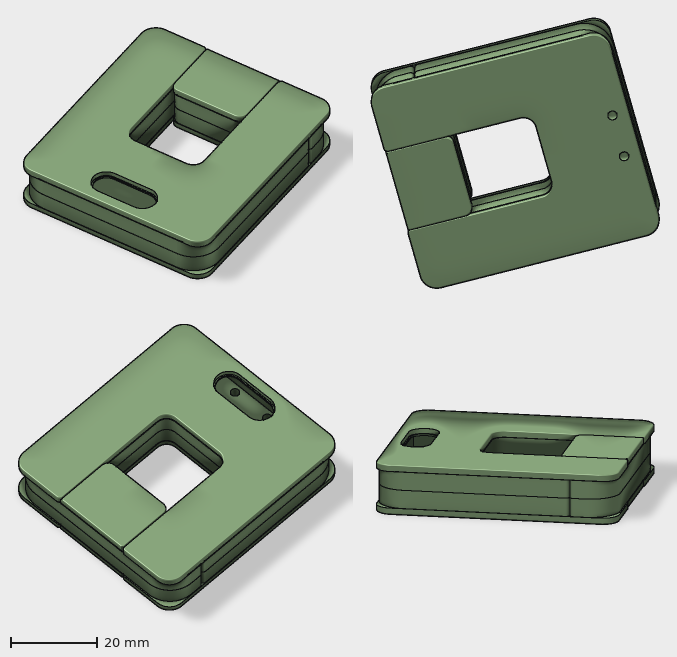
import cadquery as cq
WIDTH = 51.2
LENGTH = 57.3
HEIGHT = 12.0
HALF_HEIGHT = HEIGHT / 2
BACK_Y = LENGTH / 2
FRONT_Y = -LENGTH / 2

PLATE_THICKNESS = 1.6
CORE_HEIGHT = HALF_HEIGHT - PLATE_THICKNESS
PLATE_CORNER_RADIUS = 4.0
CORE_CORNER_RADIUS = 7.0
EDGE_ROUND = 0.4
CORE_INSET = 0.1

SLOT_WIDTH = 20.0
SLOT_LENGTH = 35.45
SLOT_CORNER_RADIUS = 3.0
SLOT_MOUTH_RADIUS = 1.0
SLOT_END_Y = BACK_Y - SLOT_LENGTH

SLIDER_BACK_Y = BACK_Y - 0.25
TONGUE_LENGTH = 15.9
TONGUE_PLATE_RADIUS = 2.1
TONGUE_CORE_RADIUS = 2.5
TONGUE_END_Y = SLIDER_BACK_Y - TONGUE_LENGTH
CROSSBAR_LENGTH = 10.9
PARTING_Y = SLIDER_BACK_Y - CROSSBAR_LENGTH
PARTING_RADIUS = 1.0

WINDOW_Y = -22.45
WINDOW_LENGTH = 17.0
WINDOW_WIDTH = 7.1
WINDOW_LEDGE = 0.35
WINDOW_LEDGE_DEPTH = 1.2
CAVITY_ROOF_THICKNESS = PLATE_THICKNESS
CAVITY_WIDTH = 28.65
CAVITY_FRONT_Y = FRONT_Y + 2.0
CAVITY_BACK_Y = -12.6

HOLE_DIAMETER = 2.2
HOLE_SPACING = 10.4
HOLE_Y = -24.75


def block(width, front_y, back_y, bottom_z, top_z):
    """A box centred on X that spans the given Y and Z limits."""
    return (
        cq.Workplane("XY", origin=(0, (front_y + back_y) / 2, bottom_z))
        .rect(width, back_y - front_y)
        .extrude(top_z - bottom_z)
    )


def housing_plate():
    """U-shaped upper plate with its outer edge rounded."""
    plate = block(WIDTH, FRONT_Y, BACK_Y, CORE_HEIGHT, HALF_HEIGHT).edges("|Z").fillet(PLATE_CORNER_RADIUS)
    slot = block(SLOT_WIDTH, SLOT_END_Y, BACK_Y, CORE_HEIGHT, HALF_HEIGHT)
    slot = slot.edges("|Z and <Y").fillet(SLOT_CORNER_RADIUS)
    mouth_corners = cq.selectors.BoxSelector(
        (-SLOT_WIDTH, BACK_Y - SLOT_MOUTH_RADIUS, 0),
        (SLOT_WIDTH, BACK_Y + SLOT_MOUTH_RADIUS, HEIGHT),
    )
    plate = plate.cut(slot).edges("|Z").edges(mouth_corners).fillet(SLOT_MOUTH_RADIUS)
    return plate.faces(">Z").fillet(EDGE_ROUND)


def housing_core():
    """Upper half of the U-shaped core, which ends at the slider's crossbar."""
    core = block(WIDTH - 2 * CORE_INSET, FRONT_Y + CORE_INSET, PARTING_Y, 0, CORE_HEIGHT)
    core = core.edges("|Z and <Y").fillet(CORE_CORNER_RADIUS)
    core = core.edges("|Z and >Y").fillet(PARTING_RADIUS)
    slot = block(SLOT_WIDTH + 2 * CORE_INSET, SLOT_END_Y - CORE_INSET, BACK_Y, 0, CORE_HEIGHT)
    return core.cut(slot.edges("|Z and <Y").fillet(SLOT_CORNER_RADIUS))


def window_level(inset, depth):
    """One level of the window, shrunk all round by inset and cut down to depth."""
    return (
        cq.Workplane("XY", origin=(0, WINDOW_Y, HALF_HEIGHT - depth))
        .slot2D(WINDOW_LENGTH - 2 * inset, WINDOW_WIDTH - 2 * inset)
        .extrude(depth)
    )


def build_upper_housing():
    """Upper half of the housing, hollowed from the parting plane and opened by the window."""
    cavity = block(CAVITY_WIDTH, CAVITY_FRONT_Y, CAVITY_BACK_Y, 0, HALF_HEIGHT - CAVITY_ROOF_THICKNESS)
    return (
        housing_plate()
        .union(housing_core())
        .cut(cavity)
        .cut(window_level(0, WINDOW_LEDGE_DEPTH))
        .cut(window_level(WINDOW_LEDGE, CAVITY_ROOF_THICKNESS))
    )


def build_lower_housing():
    """Lower half of the housing, with the two holes through it."""
    holes = (
        cq.Workplane("XY", origin=(0, HOLE_Y, -HALF_HEIGHT))
        .pushPoints([(-HOLE_SPACING / 2, 0), (HOLE_SPACING / 2, 0)])
        .circle(HOLE_DIAMETER / 2)
        .extrude(HALF_HEIGHT)
    )
    return housing_plate().union(housing_core()).mirror("XY").cut(holes)


def slider_half():
    """Upper half of the slider: tongue plate, tongue core and crossbar."""
    plate = block(SLOT_WIDTH, TONGUE_END_Y, SLIDER_BACK_Y, CORE_HEIGHT, HALF_HEIGHT)
    plate = plate.edges("|Z and <Y").fillet(TONGUE_PLATE_RADIUS).faces(">Z").fillet(EDGE_ROUND)

    core_back_y = SLIDER_BACK_Y - CORE_INSET
    tongue = block(SLOT_WIDTH - 2 * CORE_INSET, TONGUE_END_Y + CORE_INSET, core_back_y, 0, CORE_HEIGHT)
    tongue = tongue.edges("|Z and <Y").fillet(TONGUE_CORE_RADIUS)

    crossbar = block(WIDTH - 2 * CORE_INSET, PARTING_Y, core_back_y, 0, CORE_HEIGHT)
    crossbar = crossbar.edges("|Z and >Y").fillet(CORE_CORNER_RADIUS)
    crossbar = crossbar.edges("|Z and <Y").fillet(PARTING_RADIUS)
    return plate.union(crossbar.union(tongue))


upper_housing = build_upper_housing()
lower_housing = build_lower_housing()
upper_slider = slider_half()
lower_slider = upper_slider.mirror("XY")

result = cq.Compound.makeCompound(
    [upper_housing.val(), lower_housing.val(), upper_slider.val(), lower_slider.val()]
)